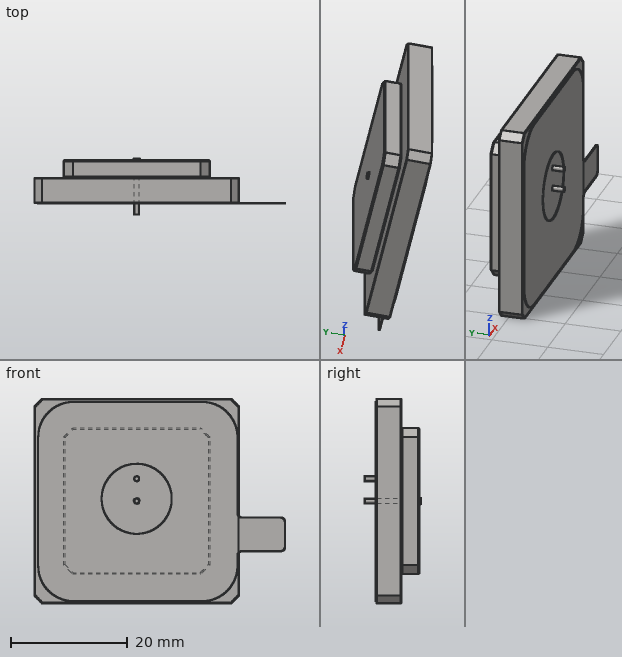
import cadquery as cq


overall_length = 42.9
overall_depth = 9.6

large_side = 35.0
large_thickness = 4.25
large_corner = 1.35
large_rim = 0.1

small_side = 25.05
small_thickness = 3.1
small_corner = 1.6
small_rim = 0.235

pin_diameter = 0.85
pin_offset = 3.8
head_base_diameter = 1.25
head_height = 0.25
head_tip_diameter = 1.0

sheet_side = 34.1
sheet_thickness = 0.15
sheet_corner_radius = 6.0
sheet_left_margin = 0.65
sheet_drop = 0.1
sheet_hole_diameter = 12.0
sheet_hole_rise = 0.4

tab_width = 5.8
tab_drop = 5.7
tab_radius = 0.77

small_back = large_thickness + small_thickness
pin_tip = small_back + head_height - overall_depth
sheet_left = sheet_left_margin - large_side / 2
sheet_right = sheet_left + sheet_side
tab_end = overall_length - large_side / 2


def plane_at(y):
    """XZ plane at the given Y, with its normal toward +Y and local axes (-X, Z)."""
    return cq.Workplane(cq.Plane(origin=(0, y, 0), xDir=(-1, 0, 0), normal=(0, 1, 0)))


def square_patch(front, side, thickness, corner, rim):
    """Square plate with chamfered corners and chamfered rims on both faces."""
    plate = plane_at(front).rect(side, side).extrude(thickness)
    plate = plate.edges("|Y").chamfer(corner)
    return plate.faces("<Y or >Y").edges().chamfer(rim)


def pin(height, length):
    """Round pin that runs from the common tip level toward +Y."""
    return plane_at(pin_tip).center(0, height).circle(pin_diameter / 2).extrude(length)


def make_large_patch():
    """Large patch with its own pin and a hole for the small patch's pin."""
    patch = square_patch(0, large_side, large_thickness, large_corner, large_rim)
    central_hole = plane_at(0).circle(pin_diameter / 2).extrude(large_thickness)
    upper_pin = pin(pin_offset, large_thickness - pin_tip)
    return patch.cut(central_hole).union(upper_pin)


def make_small_patch():
    """Small patch with the central pin, whose tapered head shows on the back."""
    patch = square_patch(large_thickness, small_side, small_thickness, small_corner, small_rim)
    central_pin = pin(0, small_back - pin_tip)
    head = cq.Solid.makeCone(
        head_base_diameter / 2,
        head_tip_diameter / 2,
        head_height,
        pnt=cq.Vector(0, small_back, 0),
        dir=cq.Vector(0, 1, 0),
    )
    return patch.union(central_pin).union(cq.Workplane(head))


def make_adhesive_sheet():
    """Thin rounded sheet with a round opening and a pull tab on the +X side."""
    sheet_centre_x = (sheet_left + sheet_right) / 2
    sheet = cq.Workplane("XY").box(sheet_side, sheet_thickness, sheet_side)
    sheet = sheet.edges("|Y").fillet(sheet_corner_radius)
    sheet = sheet.translate((sheet_centre_x, -sheet_thickness / 2, -sheet_drop))

    tab_length = tab_end - sheet_centre_x
    tab = cq.Workplane("XY").box(tab_length, sheet_thickness, tab_width)
    tab = tab.edges("|Y and >X").fillet(tab_radius)
    tab = tab.translate((sheet_centre_x + tab_length / 2, -sheet_thickness / 2, -tab_drop))

    root_reach = tab_width / 2 + tab_radius
    roots = cq.selectors.BoxSelector(
        (sheet_right - tab_radius, -2 * sheet_thickness, -tab_drop - root_reach),
        (sheet_right + tab_radius, sheet_thickness, -tab_drop + root_reach),
    )
    sheet = sheet.union(tab).edges("|Y").edges(roots).fillet(tab_radius)

    opening = plane_at(-sheet_thickness).center(0, sheet_hole_rise)
    return sheet.cut(opening.circle(sheet_hole_diameter / 2).extrude(sheet_thickness))


large_patch = make_large_patch().solids().val()
small_patch = make_small_patch().solids().val()
adhesive_sheet = make_adhesive_sheet().solids().val()

result = cq.Compound.makeCompound([large_patch, small_patch, adhesive_sheet])